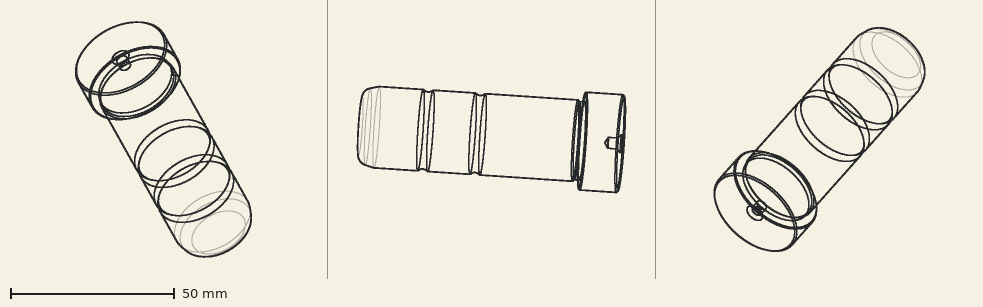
import cadquery as cq
import math

length = 80.0
head_radius = 15.0
head_length = 12.0
head_front_chamfer = 0.5
head_back_chamfer = 0.3

neck_radius = 12.0
shank_radius = 12.5
shank_start = 13.6
shank_chamfer = 0.5

nose_start = 75.0
nose_angle = math.radians(15)
nose_round = 3.0

groove_centers = (44.0, 60.0)
groove_width = 3.0
groove_depth = 0.6

countersink_radius = 2.8
countersink_half_angle = math.radians(45)
drill_radius = 1.7
drill_depth = 4.0
drill_tip_half_angle = math.radians(60)


def revolve_about_x(profile):
    return profile.close().revolve(360, (0, 0, 0), (1, 0, 0))


def make_pin():
    round_start = length - nose_round * (1 - math.sin(nose_angle))
    taper_end_radius = shank_radius - (round_start - nose_start) * math.tan(nose_angle)
    end_radius = taper_end_radius - nose_round * math.cos(nose_angle)
    mid_angle = (math.pi / 2 - nose_angle) / 2
    arc_middle = (
        length - nose_round * (1 - math.cos(mid_angle)),
        end_radius + nose_round * math.sin(mid_angle),
    )

    profile = (
        cq.Workplane("XY")
        .lineTo(0, head_radius - head_front_chamfer)
        .lineTo(head_front_chamfer, head_radius)
        .lineTo(head_length - head_back_chamfer, head_radius)
        .lineTo(head_length, head_radius - head_back_chamfer)
        .lineTo(head_length, neck_radius)
        .lineTo(shank_start, neck_radius)
        .lineTo(shank_start + shank_chamfer, shank_radius)
    )
    for center in groove_centers:
        profile = profile.lineTo(center - groove_width / 2, shank_radius).threePointArc(
            (center, shank_radius - groove_depth),
            (center + groove_width / 2, shank_radius),
        )
    profile = (
        profile.lineTo(nose_start, shank_radius)
        .lineTo(round_start, taper_end_radius)
        .threePointArc(arc_middle, (length, end_radius))
        .lineTo(length, 0)
    )
    return revolve_about_x(profile)


def make_center_hole():
    countersink_depth = (countersink_radius - drill_radius) / math.tan(countersink_half_angle)
    tip_length = drill_radius / math.tan(drill_tip_half_angle)
    profile = (
        cq.Workplane("XY")
        .lineTo(0, countersink_radius)
        .lineTo(countersink_depth, drill_radius)
        .lineTo(drill_depth, drill_radius)
        .lineTo(drill_depth + tip_length, 0)
    )
    return revolve_about_x(profile)


result = make_pin().cut(make_center_hole())